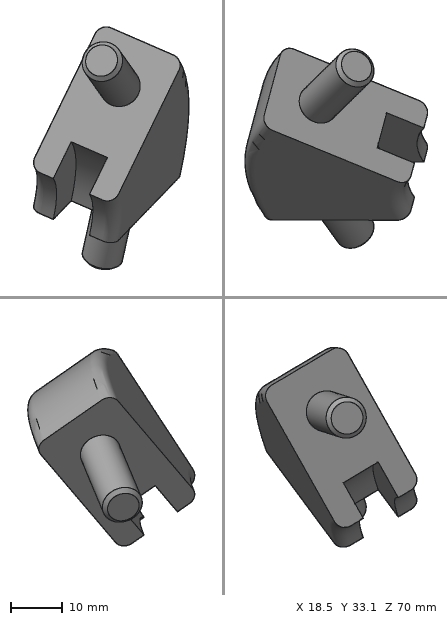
import cadquery as cq

sector_angle = 45.0
half_angle = sector_angle / 2
outer_radius = 49.9
inner_radius = 18.15
segment_width = 18.5
corner_radius = 2.4

groove_width = 8.0
groove_depth = 8.05

pin_diameter = 8.0
pin_length = 20.0
pin_chamfer = 0.85
pin_ring_radius = 40.0


def make_segment():
    radial_depth = outer_radius - inner_radius
    middle_radius = (outer_radius + inner_radius) / 2
    cross_section = (
        cq.Sketch()
        .rect(segment_width, radial_depth)
        .vertices()
        .fillet(corner_radius)
        .moved(cq.Location(cq.Vector(0, middle_radius, 0)))
    )
    sector = (
        cq.Workplane("XY")
        .placeSketch(cross_section)
        .revolve(sector_angle, (0, 0, 0), (1, 0, 0))
        .rotate((0, 0, 0), (1, 0, 0), -half_angle)
    )
    groove = (
        cq.Workplane("YZ")
        .circle(inner_radius + groove_depth)
        .extrude(groove_width / 2, both=True)
    )
    return sector.cut(groove)


def make_pin(side):
    """Pin on the upper (side = 1) or lower (side = -1) end face, chamfered at its free end."""
    upright_pin = (
        cq.Workplane("XY")
        .center(0, pin_ring_radius)
        .circle(pin_diameter / 2)
        .extrude(side * pin_length)
    )
    free_end = ">Z" if side > 0 else "<Z"
    return (
        upright_pin.faces(free_end)
        .chamfer(pin_chamfer)
        .rotate((0, 0, 0), (1, 0, 0), side * half_angle)
    )


segment = make_segment()
pins = [make_pin(side) for side in (1, -1)]

result = cq.Compound.makeCompound([segment.val(), *[pin.val() for pin in pins]])